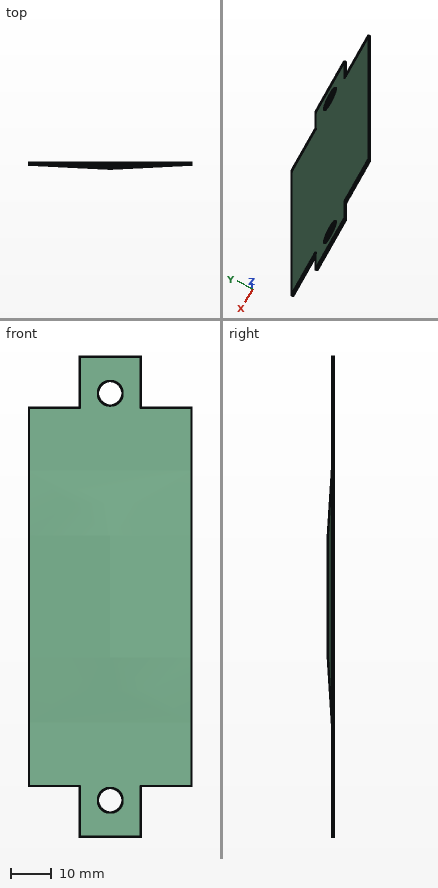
import cadquery as cq

plate_width = 40.0
body_height = 93.0
plate_thickness = 0.5

tab_width = 15.0
overall_height = 118.0
hole_diameter = 6.0
hole_spacing = 100.0

ridge_rise = 1.0
ridge_height = 30.0
ramp_height = 16.0

half_width = plate_width / 2
front_y = -plate_thickness
ridge_y = front_y - ridge_rise
ridge_end_z = ridge_height / 2
ramp_end_z = ridge_end_z + ramp_height


def make_plate():
    """Flat cross-shaped plate with a mounting hole in each tab."""
    body = cq.Workplane("XY").box(
        plate_width, plate_thickness, body_height, centered=(True, False, True)
    )
    tabs = cq.Workplane("XY").box(
        tab_width, plate_thickness, overall_height, centered=(True, False, True)
    )
    plate = body.union(tabs).translate((0, front_y, 0))
    holes = (
        cq.Workplane("XZ")
        .pushPoints([(0, hole_spacing / 2), (0, -hole_spacing / 2)])
        .circle(hole_diameter / 2)
        .extrude(plate_thickness)
    )
    return plate.cut(holes)


def make_ridge():
    """V-shaped ridge running along Z with constant section."""
    return (
        cq.Workplane("XY", origin=(0, 0, -ridge_end_z))
        .moveTo(-half_width, 0)
        .lineTo(-half_width, front_y)
        .lineTo(0, ridge_y)
        .lineTo(half_width, front_y)
        .lineTo(half_width, 0)
        .close()
        .extrude(ridge_height)
    )


def make_ramp_section(z, crest_y):
    """Plate section at height z whose V-shaped front is one edge peaking at crest_y."""
    back_right = cq.Vector(half_width, 0, z)
    back_left = cq.Vector(-half_width, 0, z)
    front_left = cq.Vector(-half_width, front_y, z)
    front_right = cq.Vector(half_width, front_y, z)
    crest = cq.Vector(0, crest_y, z)
    edges = [
        cq.Edge.makeSplineApprox([front_left, crest, front_right], minDeg=1, maxDeg=1),
        cq.Edge.makeLine(front_right, back_right),
        cq.Edge.makeLine(back_right, back_left),
        cq.Edge.makeLine(back_left, front_left),
    ]
    return cq.Wire.assembleEdges(edges)


def make_ramp():
    """Upper ramp: its front is a single ruled face from the V of the ridge to the flat plate."""
    ridge_section = make_ramp_section(ridge_end_z, ridge_y)
    flat_section = make_ramp_section(ramp_end_z, front_y)
    return cq.Workplane(obj=cq.Solid.makeLoft([ridge_section, flat_section], True))


ramp = make_ramp()
result = make_plate().union(make_ridge()).union(ramp).union(ramp.mirror("XY"))